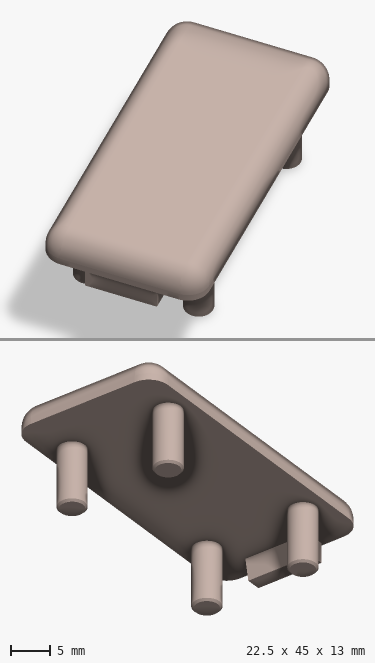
import cadquery as cq

plate_width = 22.5
plate_length = 45.0
plate_thickness = 4.0
edge_radius = 3.0

peg_length = 9.0
peg_diameter = 4.0
peg_spacing_x = 15.25
peg_spacing_y = 29.0
peg_tip_chamfer = 0.3

tab_width = 10.0
tab_depth = 3.0
tab_end_inset = 0.5
tab_root_thickness = 2.8
tab_tip_thickness = 2.15


def make_plate():
    """Plate with its underside on Z = 0, rounded corners and a rounded top rim."""
    return (
        cq.Workplane("XY")
        .box(plate_width, plate_length, plate_thickness, centered=(True, True, False))
        .edges("|Z")
        .fillet(edge_radius)
        .faces(">Z")
        .edges()
        .fillet(edge_radius)
    )


def make_pegs():
    """Four pegs hanging from the underside, chamfered at the tips."""
    return (
        cq.Workplane("XY")
        .rect(peg_spacing_x, peg_spacing_y, forConstruction=True)
        .vertices()
        .circle(peg_diameter / 2)
        .extrude(-peg_length)
        .faces("<Z")
        .edges()
        .chamfer(peg_tip_chamfer)
    )


def make_tab():
    """Tab with an upright outer face and an inner face that tapers towards the tip."""
    outer_y = -plate_length / 2 + tab_end_inset
    profile = [
        (outer_y, 0),
        (outer_y + tab_root_thickness, 0),
        (outer_y + tab_tip_thickness, -tab_depth),
        (outer_y, -tab_depth),
    ]
    return cq.Workplane("YZ").polyline(profile).close().extrude(tab_width / 2, both=True)


result = make_plate().union(make_pegs()).union(make_tab())